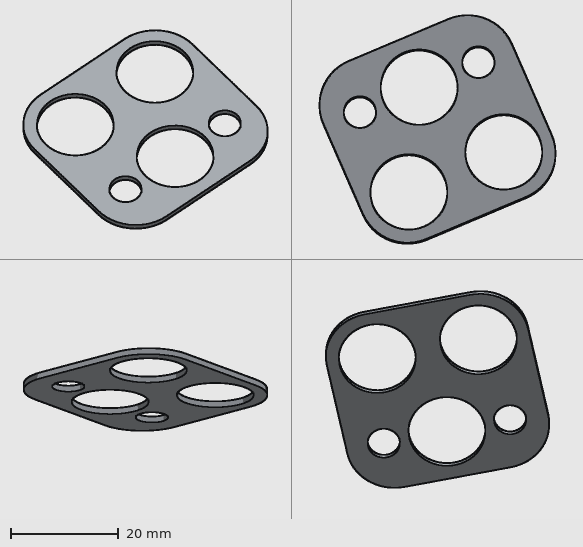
import cadquery as cq

width = 36.72
length = 38.2
thickness = 1.2
corner_radius = 9.0

large_diameter = 14.3
small_diameter = 6.0
left_column_x = -8.85
right_column_x = 8.65
large_pair_spacing = 19.22
small_pair_spacing = 24.0

large_centers = [
    (left_column_x, large_pair_spacing / 2),
    (left_column_x, -large_pair_spacing / 2),
    (right_column_x, 0),
]
small_centers = [
    (right_column_x, small_pair_spacing / 2),
    (right_column_x, -small_pair_spacing / 2),
]


def through_holes(plate, centers, diameter):
    """Cut round openings through the plate at the given centers."""
    return plate.faces(">Z").workplane(origin=(0, 0, 0)).pushPoints(centers).hole(diameter)


plate = cq.Workplane("XY").box(width, length, thickness).edges("|Z").fillet(corner_radius)
plate = through_holes(plate, large_centers, large_diameter)
result = through_holes(plate, small_centers, small_diameter)